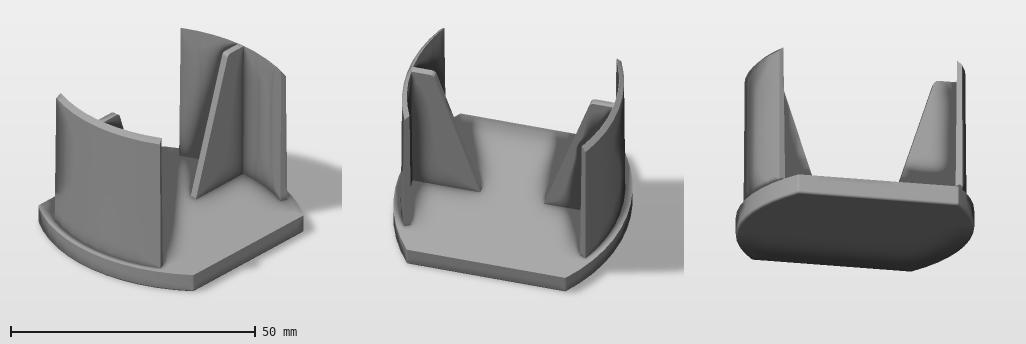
import cadquery as cq
import math

plate_width = 43.0
plate_length = 48.3
straight_side = 33.6
plate_thickness = 4.0
plate_edge_radius = 0.5
total_height = 34.0

wall_inset = 1.5
wall_thickness = 1.55
wall_half_width = 14.7
wall_draft = 0.5
wall_chamfer = 0.95

rib_thickness = 1.5
rib_foot_y = 6.75
rib_tip_y = 16.6
rib_tip_radius = 1.0

wall_height = total_height - plate_thickness
arch_rise = (plate_length - straight_side) / 2
arch_radius = ((plate_width / 2) ** 2 + arch_rise ** 2) / (2 * arch_rise)
arch_center_y = plate_length / 2 - arch_radius
wall_outer_radius = arch_radius - wall_inset
wall_inner_radius = wall_outer_radius - wall_thickness
wall_half_angle = math.asin(wall_half_width / wall_outer_radius)


def arch_point(radius, angle):
    """Point about the arch centre, with the angle measured from +Y."""
    return (radius * math.sin(angle), arch_center_y + radius * math.cos(angle))


def make_plate():
    half_width = plate_width / 2
    half_side = straight_side / 2
    half_length = plate_length / 2
    return (
        cq.Workplane("XY")
        .moveTo(half_width, -half_side)
        .lineTo(half_width, half_side)
        .threePointArc((0, half_length), (-half_width, half_side))
        .lineTo(-half_width, -half_side)
        .threePointArc((0, -half_length), (half_width, -half_side))
        .close()
        .extrude(plate_thickness)
        .edges("|Z")
        .fillet(plate_edge_radius)
        .faces("<Z")
        .edges()
        .fillet(plate_edge_radius)
    )


def make_wall():
    """Arc-shaped wall whose faces all lean inward by the draft angle."""
    return (
        cq.Workplane("XY", origin=(0, 0, plate_thickness))
        .moveTo(*arch_point(wall_outer_radius, -wall_half_angle))
        .threePointArc(
            arch_point(wall_outer_radius, 0),
            arch_point(wall_outer_radius, wall_half_angle),
        )
        .lineTo(*arch_point(wall_inner_radius, wall_half_angle))
        .threePointArc(
            arch_point(wall_inner_radius, 0),
            arch_point(wall_inner_radius, -wall_half_angle),
        )
        .close()
        .extrude(wall_height, taper=wall_draft)
    )


def make_rib():
    rib_back_y = arch_center_y + wall_outer_radius - wall_thickness / 2
    return (
        cq.Workplane("YZ")
        .moveTo(rib_foot_y, plate_thickness)
        .lineTo(rib_tip_y, total_height)
        .lineTo(rib_back_y, total_height)
        .lineTo(rib_back_y, plate_thickness)
        .close()
        .extrude(rib_thickness / 2, both=True)
        .faces(">Z")
        .edges("<Y")
        .fillet(rib_tip_radius)
    )


def make_chamfer_envelope():
    """Round body whose top edge bevels the outer rim of wall and rib."""
    rim_radius = wall_outer_radius - wall_height * math.tan(math.radians(wall_draft))
    crest_radius = rim_radius - wall_chamfer
    lower_radius = crest_radius + wall_height
    return (
        cq.Workplane("XZ", origin=(0, arch_center_y, 0))
        .moveTo(0, plate_thickness)
        .lineTo(lower_radius, plate_thickness)
        .lineTo(crest_radius, total_height)
        .lineTo(0, total_height)
        .close()
        .revolve(360, (0, 0), (0, 1))
    )


support = make_wall().union(make_rib()).intersect(make_chamfer_envelope())
result = make_plate().union(support).union(support.mirror("XZ"))